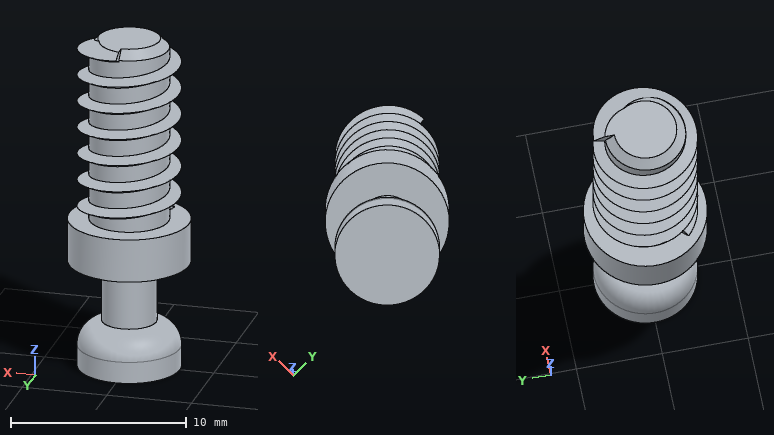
import cadquery as cq
import math

total_height = 20.0
collar_top = 9.0
collar_bottom = 6.42
head_height = 2.8

collar_radius = 7.1 / 2
head_radius = 3.0
head_rounding = 1.5
neck_radius = 1.6
core_radius = 2.32
tip_chamfer = 0.52

pitch = 1.6
crest_radius = 3.0
thread_root_radius = 1.6
flank_angle = 25.0
thread_start_angle = 225.0
thread_end_angle = 90.0
crest_start_height = 9.1
full_turns = 6


def cylinder(radius, bottom, top):
    return cq.Workplane("XY").workplane(offset=bottom).circle(radius).extrude(top - bottom)


def make_body():
    head = cylinder(head_radius, 0, head_height).faces(">Z").edges().fillet(head_rounding)
    neck = cylinder(neck_radius, 0, collar_bottom)
    collar = cylinder(collar_radius, collar_bottom, collar_top)
    core = cylinder(core_radius, collar_bottom, total_height).faces(">Z").edges().chamfer(tip_chamfer)
    return head.union(neck).union(collar).union(core)


def make_thread():
    part_turn = (thread_end_angle - thread_start_angle) % 360 / 360
    rise = pitch * (full_turns + part_turn)
    root_half_width = (crest_radius - thread_root_radius) * math.tan(math.radians(flank_angle))
    helix = cq.Workplane(obj=cq.Wire.makeHelix(pitch, rise, thread_root_radius))
    profile = cq.Workplane("XZ").polyline(
        [
            (thread_root_radius, -root_half_width),
            (crest_radius, 0),
            (thread_root_radius, root_half_width),
        ]
    ).close()
    thread = profile.sweep(helix, isFrenet=True)
    thread = thread.rotate((0, 0, 0), (0, 0, 1), thread_start_angle)
    thread = thread.translate((0, 0, crest_start_height))
    return thread.intersect(cylinder(collar_radius, collar_bottom, total_height))


result = make_body().union(make_thread())